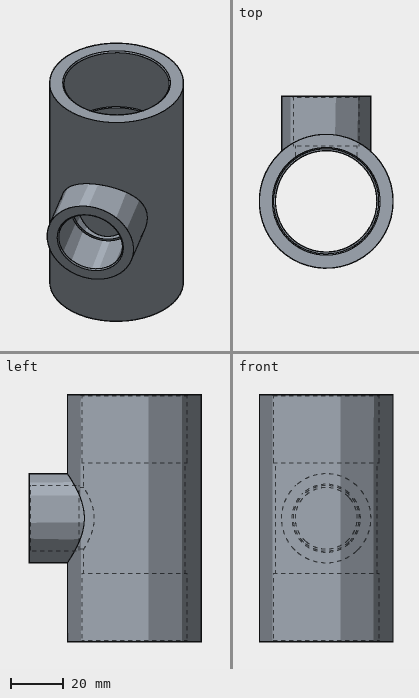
import cadquery as cq

RUN_LENGTH = 94.0
RUN_OUTER_DIAMETER = 51.0
RUN_SOCKET_DIAMETER = 40.0
RUN_SOCKET_DEPTH = 26.0
RUN_BORE_DIAMETER = 38.5

OVERALL_DEPTH = 65.5
BRANCH_REACH = OVERALL_DEPTH - RUN_OUTER_DIAMETER / 2
BRANCH_OUTER_DIAMETER = 34.0
BRANCH_SOCKET_DIAMETER = 25.0
BRANCH_SOCKET_DEPTH = 19.0
BRANCH_BORE_DIAMETER = 23.5

MOUTH_CHAMFER = 0.5


def run_cylinder(diameter):
    """Full-length cylinder on the run axis."""
    return cq.Workplane("XY").circle(diameter / 2).extrude(RUN_LENGTH / 2, both=True)


def branch_cylinder(diameter):
    """Cylinder from the run axis to the branch mouth."""
    return cq.Workplane("XZ").circle(diameter / 2).extrude(-BRANCH_REACH)


def socket_cutter(diameter, depth):
    """Socket void along Z, with its flared mouth at Z = 0 and its floor below."""
    radius = diameter / 2
    mouth_radius = radius + MOUTH_CHAMFER
    half_profile = (
        cq.Workplane("XZ")
        .moveTo(0, 0)
        .lineTo(mouth_radius, 0)
        .lineTo(radius, -MOUTH_CHAMFER)
        .lineTo(radius, -depth)
        .lineTo(0, -depth)
        .close()
    )
    return half_profile.revolve(360, (0, 0, 0), (0, 1, 0))


def make_tee():
    """Pipe tee with a socket at each of its three mouths."""
    tee = run_cylinder(RUN_OUTER_DIAMETER).union(branch_cylinder(BRANCH_OUTER_DIAMETER))
    tee = tee.cut(run_cylinder(RUN_BORE_DIAMETER))
    tee = tee.cut(branch_cylinder(BRANCH_BORE_DIAMETER))

    top_socket = socket_cutter(RUN_SOCKET_DIAMETER, RUN_SOCKET_DEPTH).translate((0, 0, RUN_LENGTH / 2))
    bottom_socket = top_socket.mirror("XY")
    branch_socket = (
        socket_cutter(BRANCH_SOCKET_DIAMETER, BRANCH_SOCKET_DEPTH)
        .rotate((0, 0, 0), (1, 0, 0), -90)
        .translate((0, BRANCH_REACH, 0))
    )
    return tee.cut(top_socket).cut(bottom_socket).cut(branch_socket)


result = make_tee()